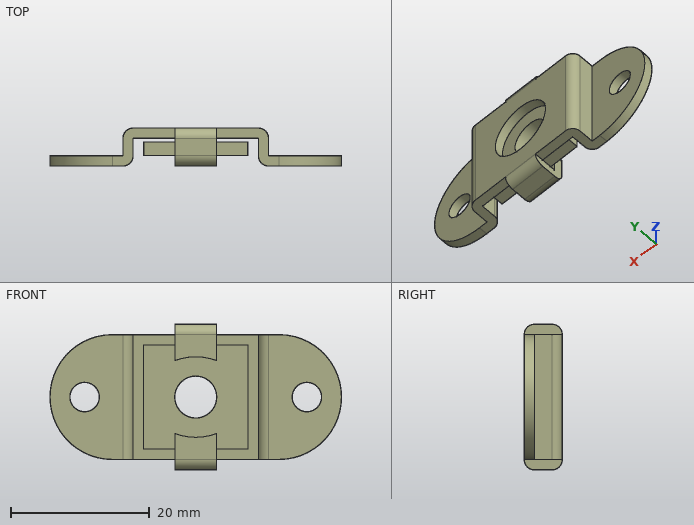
import cadquery as cq

overall_length = 42.0
bracket_height = 18.0
sheet_thickness = 1.5
bracket_depth = 5.5
channel_inner_width = 18.0
bend_radius = sheet_thickness

ear_hole_spacing = 32.0
ear_hole_diameter = 4.2
insert_hole_diameter = 6.0
bracket_hole_diameter = 10.0

clip_width = 6.0
lip_corner_z = 5.25
lip_middle_z = 5.8
clip_bend_radius = sheet_thickness

insert_side = 15.0
insert_thickness = 2.0

channel_half_inner = channel_inner_width / 2
channel_half_outer = channel_half_inner + sheet_thickness
channel_floor_y = bracket_depth - sheet_thickness
clip_top_z = bracket_height / 2 + sheet_thickness


def hole_along_y(x, diameter):
    """Cylinder along Y that passes through the full bracket depth."""
    return (
        cq.Workplane("XZ", origin=(x, bracket_depth, 0))
        .circle(diameter / 2)
        .extrude(bracket_depth)
    )


def make_hat_strip():
    """Strip bent to a hat section, with rounded ear ends."""
    half_length = overall_length / 2
    strip = (
        cq.Workplane("XY")
        .moveTo(-half_length, 0)
        .lineTo(-channel_half_inner, 0)
        .lineTo(-channel_half_inner, channel_floor_y)
        .lineTo(channel_half_inner, channel_floor_y)
        .lineTo(channel_half_inner, 0)
        .lineTo(half_length, 0)
        .lineTo(half_length, sheet_thickness)
        .lineTo(channel_half_outer, sheet_thickness)
        .lineTo(channel_half_outer, bracket_depth)
        .lineTo(-channel_half_outer, bracket_depth)
        .lineTo(-channel_half_outer, sheet_thickness)
        .lineTo(-half_length, sheet_thickness)
        .close()
        .extrude(bracket_height / 2, both=True)
    )
    for x, y in (
        (-channel_half_inner, 0),
        (channel_half_inner, 0),
        (-channel_half_outer, bracket_depth),
        (channel_half_outer, bracket_depth),
    ):
        strip = strip.edges(cq.selectors.NearestToPointSelector((x, y, 0))).fillet(bend_radius)

    rounded_outline = (
        cq.Workplane("XZ", origin=(0, bracket_depth, 0))
        .slot2D(overall_length, bracket_height)
        .extrude(bracket_depth)
    )
    return strip.intersect(rounded_outline)


def make_clips():
    """Pair of hooks over the top and bottom edges, with lip edges hollowed by a shallow arc."""
    loop = (
        cq.Workplane("XY")
        .box(clip_width, bracket_depth, 2 * clip_top_z)
        .translate((0, bracket_depth / 2, 0))
        .edges("|X")
        .fillet(clip_bend_radius)
    )
    cavity = (
        cq.Workplane("XY")
        .box(clip_width, channel_floor_y - sheet_thickness, bracket_height)
        .translate((0, (channel_floor_y + sheet_thickness) / 2, 0))
    )
    lip_half = clip_width / 2
    lip_gap = (
        cq.Workplane("XZ", origin=(0, sheet_thickness, 0))
        .moveTo(-lip_half, -lip_corner_z)
        .threePointArc((0, -lip_middle_z), (lip_half, -lip_corner_z))
        .lineTo(lip_half, lip_corner_z)
        .threePointArc((0, lip_middle_z), (-lip_half, lip_corner_z))
        .close()
        .extrude(sheet_thickness)
    )
    return loop.cut(cavity).cut(lip_gap)


def make_bracket():
    bracket = make_hat_strip().union(make_clips())
    for x in (-ear_hole_spacing / 2, ear_hole_spacing / 2):
        bracket = bracket.cut(hole_along_y(x, ear_hole_diameter))
    return bracket.cut(hole_along_y(0, bracket_hole_diameter))


def make_insert():
    """Square plate resting against the back of the clip lips."""
    plate = (
        cq.Workplane("XY")
        .box(insert_side, insert_thickness, insert_side)
        .translate((0, sheet_thickness + insert_thickness / 2, 0))
    )
    return plate.cut(hole_along_y(0, insert_hole_diameter))


bracket = make_bracket()
insert = make_insert()

result = cq.Compound.makeCompound([bracket.val(), insert.val()])